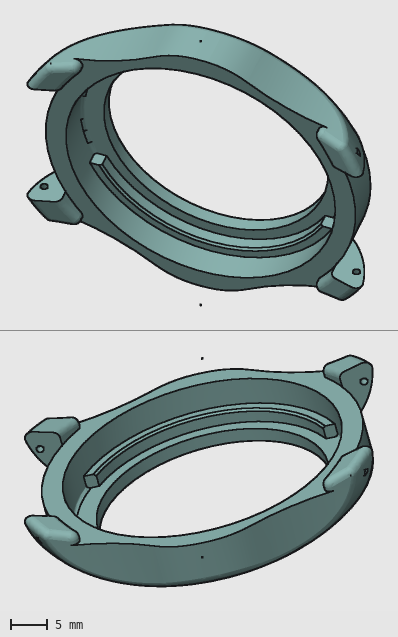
import cadquery as cq
import math


BODY_RADIUS = 22.45
BODY_DEPTH = 8.0

BEZEL_RADIUS = 19.4
DOME_MID = (25.05, 2.65)
DOME_END = (26.85, -4.2)

CREST_HALF_WIDTH = 1.05
SHOULDER = (6.75, 20.65)
FLANK_END = (29.45, 15.6)

LUG_INNER_Z = 11.05
UNDERSIDE_POINT = (21.05, -2.45)
UNDERSIDE_ANGLE = 15.6
LUG_EDGE_FILLET = 1.0

BAR_HOLE_DIAMETER = 1.0
BAR_HOLE_DEPTH = 2.0
BAR_HOLE_X = 22.65
BAR_HOLE_Y = -0.1

RECESS_RADIUS = 19.5
RECESS_DEPTH = 6.0
RECESS_FILLET = 0.5
OPENING_RADIUS = 16.25

LEDGE_INNER_RADIUS = 18.0
LEDGE_TOP_Y = 4.0
LEDGE_CHAMFER = 0.3
LEDGE_END_Z = 8.5

OVERALL_LENGTH = 52.6
MARKER_SIZE = 0.1

REACH = 31.55
TOLERANCE = 0.025


def disc(radius, y_start, y_end):
    """Cylinder about the Y axis."""
    return cq.Workplane("XZ", origin=(0, y_start, 0)).circle(radius).extrude(y_start - y_end)


def domed_blank():
    return (
        cq.Workplane("XY")
        .moveTo(0, BODY_DEPTH)
        .lineTo(BEZEL_RADIUS, BODY_DEPTH)
        .threePointArc(DOME_MID, DOME_END)
        .lineTo(0, DOME_END[1])
        .close()
        .revolve(360, (0, 0, 0), (0, 1, 0))
    )


def scallop_arcs():
    """Midpoints of the shoulder and flank arcs, each tangent to the arc before it."""
    crest_z = math.sqrt(BODY_RADIUS**2 - CREST_HALF_WIDTH**2)
    crest_end = cq.Vector(CREST_HALF_WIDTH, crest_z)
    crest_direction = cq.Vector(crest_z, -CREST_HALF_WIDTH)
    shoulder = cq.Edge.makeTangentArc(crest_end, crest_direction, cq.Vector(*SHOULDER))
    flank = cq.Edge.makeTangentArc(cq.Vector(*SHOULDER), shoulder.tangentAt(1), cq.Vector(*FLANK_END))
    return crest_end, shoulder.positionAt(0.5), flank.positionAt(0.5)


def outline_prism():
    """Scalloped outline, extruded over the full height of the blank."""
    crest_end, shoulder_mid, flank_mid = scallop_arcs()
    flank_x, flank_z = FLANK_END
    upper_half = (
        cq.Workplane("XZ", origin=(0, BODY_DEPTH, 0))
        .moveTo(-flank_x, 0)
        .lineTo(-flank_x, flank_z)
        .threePointArc((-flank_mid.x, flank_mid.y), (-SHOULDER[0], SHOULDER[1]))
        .threePointArc((-shoulder_mid.x, shoulder_mid.y), (-crest_end.x, crest_end.y))
        .threePointArc((0, BODY_RADIUS), (crest_end.x, crest_end.y))
        .threePointArc((shoulder_mid.x, shoulder_mid.y), SHOULDER)
        .threePointArc((flank_mid.x, flank_mid.y), FLANK_END)
        .lineTo(flank_x, 0)
        .close()
        .extrude(BODY_DEPTH - DOME_END[1])
    )
    return upper_half.union(upper_half.mirror("XY"))


def below_undersides():
    """Wedges below the back face, under the sloping undersides of the lugs on both X sides."""
    slope = math.tan(math.radians(UNDERSIDE_ANGLE))
    point_x, point_y = UNDERSIDE_POINT
    tip_y = point_y - (REACH - point_x) * slope
    wedge = (
        cq.Workplane("XY", origin=(0, 0, -REACH))
        .polyline([(0, 0), (point_x + point_y / slope, 0), (REACH, tip_y), (0, tip_y)])
        .close()
        .extrude(2 * REACH)
    )
    return wedge.union(wedge.mirror("YZ"))


def between_lugs():
    """Space outside the round body and between the lugs."""
    return cq.Workplane("XY").box(2 * REACH, 2 * REACH, 2 * LUG_INNER_Z).cut(disc(BODY_RADIUS, -REACH, REACH))


def raw_shell():
    """Solid case body with its lugs, all edges still sharp."""
    shell = domed_blank().intersect(outline_prism()).cut(between_lugs())
    return shell.cut(disc(BODY_RADIUS, DOME_END[1], 0)).cut(below_undersides())


def is_rounded(edge):
    """True for the edges along the scalloped outline and around the outer end of each lug."""
    middle = edge.positionAt(0.5)
    beyond_inner_face = abs(middle.z) > LUG_INNER_Z + TOLERANCE
    on_bezel_or_back = min(abs(middle.y - BODY_DEPTH), abs(middle.y)) < TOLERANCE
    upright_on_body = edge.geomType() == "LINE" and middle.y > 0
    return beyond_inner_face and not on_bezel_or_back and not upright_on_body


def outer_shell():
    shell = raw_shell().val()
    rounded_edges = [edge for edge in shell.Edges() if is_rounded(edge)]
    return cq.Workplane(shell.fillet(LUG_EDGE_FILLET, rounded_edges))


def recess():
    """Recess with a rounded floor corner, together with the opening."""
    pocket = disc(RECESS_RADIUS, 0, RECESS_DEPTH).faces(">Y").edges().fillet(RECESS_FILLET)
    return pocket.union(disc(OPENING_RADIUS, 0, BODY_DEPTH))


def ledges():
    """Ring on the recess floor with a chamfered inner edge, interrupted on both X sides."""
    ring_radius = (RECESS_RADIUS + BODY_RADIUS) / 2
    ring = disc(ring_radius, LEDGE_TOP_Y, RECESS_DEPTH).cut(disc(LEDGE_INNER_RADIUS, LEDGE_TOP_Y, RECESS_DEPTH))
    ring = ring.faces("<Y").edges("%CIRCLE").edges(cq.selectors.RadiusNthSelector(0)).chamfer(LEDGE_CHAMFER)
    return ring.cut(cq.Workplane("XY").box(2 * REACH, 2 * REACH, 2 * LEDGE_END_Z))


def bar_holes():
    """Blind holes into the inner faces of the four lugs."""
    upper = (
        cq.Workplane("XY", origin=(0, BAR_HOLE_Y, LUG_INNER_Z))
        .pushPoints([(-BAR_HOLE_X, 0), (BAR_HOLE_X, 0)])
        .circle(BAR_HOLE_DIAMETER / 2)
        .extrude(BAR_HOLE_DEPTH)
    )
    return upper.union(upper.mirror("XY"))


def make_housing():
    return outer_shell().cut(recess()).union(ledges()).cut(bar_holes())


def make_marker(side):
    """Small block ending at the overall length, on the +Z or -Z side."""
    center_z = side * (OVERALL_LENGTH - MARKER_SIZE) / 2
    return cq.Workplane("XY").box(MARKER_SIZE, MARKER_SIZE, MARKER_SIZE).translate((0, 0, center_z))


housing = make_housing()
markers = [make_marker(side) for side in (1, -1)]

result = cq.Compound.makeCompound([housing.val(), *[marker.val() for marker in markers]])